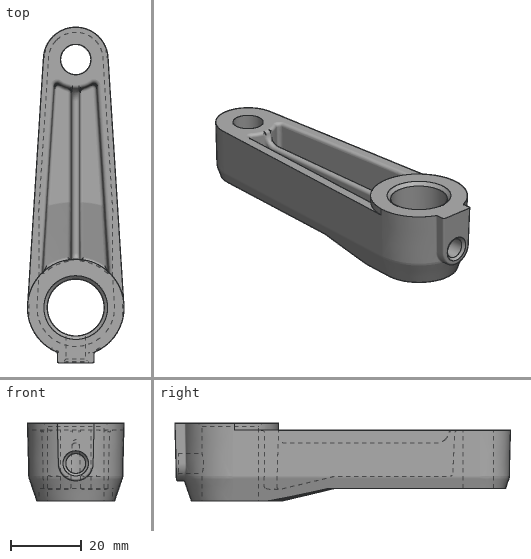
import cadquery as cq
import math

arm_length = 70.0
hub_height = 22.0
arm_top = 20.0
arm_bottom = 3.5
step_start = 1.2

hub_top_radius = 13.68
end_top_radius = 9.16
draft_slope = math.tan(math.radians(1.5))
lower_slope = math.tan(math.radians(19))
break_height = 6.7
break_blend = 2.3

hub_foot_radius = 14.6
underside_cone_radius = 29.3
underside_angle = math.atan2(arm_bottom, underside_cone_radius - hub_foot_radius)

hub_bore_radius = 8.0
hub_bore_chamfer = 1.0
end_bore_radius = 4.25

pad_tip = 15.65
pad_radius = 4.9
pad_edge_fillet = 0.5
pad_root_fillet = 0.4
cross_hole_height = 10.6
cross_hole_radius = 2.8
cross_hole_chamfer = 0.8
pad_half_width_top = pad_radius + (hub_height - cross_hole_height) * draft_slope

wall_thickness = 3.5
floor_thickness = 3.5
end_eye_radius = 8.2
pocket_corner_fillet = 1.0
pocket_floor_fillet = 0.9
rim_fillet = 1.0

rib_crest = 16.4
rib_half_width = 1.05
rib_hub_fillet = 2.0
rib_end_fillet = arm_top - rib_crest

clearance = 1.0
overlap = 0.3
tolerance = 0.05
far_radius = arm_length + 2 * end_top_radius


def wall_radius(top_radius, top, height):
    """Radius of an outer cone at a height, given its radius at its top."""
    upper_drop = top - max(height, break_height)
    lower_drop = max(break_height - height, 0)
    return top_radius - upper_drop * draft_slope - lower_drop * lower_slope


def hub_radius(height):
    return wall_radius(hub_top_radius, hub_height, height)


def end_radius(height):
    return wall_radius(end_top_radius, arm_top, height)


def tangent_slope(hub, end):
    """Sine and cosine of the angle between the arm's middle plane and a side wall."""
    sine = (hub - end) / arm_length
    return sine, math.sqrt(1 - sine**2)


def arm_outline(height):
    """Two round ends joined by their common tangents."""
    hub = hub_radius(height)
    end = end_radius(height)
    sine, cosine = tangent_slope(hub, end)
    return (
        cq.Workplane("XY", origin=(0, 0, height))
        .moveTo(hub * cosine, hub * sine)
        .lineTo(end * cosine, arm_length + end * sine)
        .threePointArc((0, arm_length + end), (-end * cosine, arm_length + end * sine))
        .lineTo(-hub * cosine, hub * sine)
        .threePointArc((0, -hub), (hub * cosine, hub * sine))
        .close()
        .val()
    )


def ruled_loft(lower_wire, upper_wire):
    return cq.Workplane(cq.Solid.makeLoft([lower_wire, upper_wire], True))


def revolved(points):
    """Solid turned about the Z axis from (radius, height) points."""
    return cq.Workplane("XZ").polyline(points).close().revolve(360, (0, 0), (0, 1))


def frustum(bottom_radius, bottom, top_radius, top):
    return revolved([(0, bottom), (bottom_radius, bottom), (top_radius, top), (0, top)])


def make_hub_core():
    """The drafted hub wall carried straight down to Z = 0."""
    return frustum(hub_top_radius - hub_height * draft_slope, 0, hub_top_radius, hub_height)


def make_outer_body():
    """Hub and arm: drafted walls, blended break line, lowered arm top, conical step underneath."""
    lower = ruled_loft(arm_outline(0), arm_outline(break_height))
    upper = ruled_loft(arm_outline(break_height), arm_outline(hub_height))
    break_line = cq.selectors.BoxSelector(
        (-far_radius, -far_radius, break_height - tolerance),
        (far_radius, far_radius, break_height + tolerance),
    )
    body = lower.union(upper).edges(break_line).fillet(break_blend)
    below_arm = revolved([
        (hub_foot_radius, 0),
        (underside_cone_radius, arm_bottom),
        (far_radius, arm_bottom),
        (far_radius, -clearance),
        (hub_foot_radius, -clearance),
    ])
    above_arm = (
        cq.Workplane("XY", origin=(0, step_start + far_radius / 2, arm_top))
        .rect(far_radius, far_radius)
        .extrude(hub_height - arm_top)
    )
    return body.cut(below_arm).cut(above_arm.cut(make_hub_core()))


def pocket_outline(height):
    """Tapered four-sided outline lying inside the arm's side walls."""
    inset = wall_thickness + (arm_top - height) * draft_slope
    hub = hub_radius(arm_top)
    end = end_radius(arm_top)
    _, cosine = tangent_slope(hub, end)
    hub_half = (hub - inset) / cosine
    end_half = (end - inset) / cosine
    return (
        cq.Workplane("XY", origin=(0, 0, height))
        .polyline([(-hub_half, 0), (hub_half, 0), (end_half, arm_length), (-end_half, arm_length)])
        .close()
        .val()
    )


def make_floor():
    """Material under the pocket: flat, then dipping to the hub parallel to the underside."""
    flat_height = arm_bottom + floor_thickness
    cone_radius = underside_cone_radius + floor_thickness * math.tan(underside_angle / 2)
    apex_height = flat_height - cone_radius * math.tan(underside_angle)
    bottom = apex_height - clearance
    return revolved([
        (0, bottom),
        (0, apex_height),
        (cone_radius, flat_height),
        (far_radius, flat_height),
        (far_radius, bottom),
    ])


def make_rib_wall():
    """Drafted wall on the arm's middle plane, up to the arm top."""
    foot = rib_half_width + rib_crest * draft_slope
    head = rib_half_width - (arm_top - rib_crest) * draft_slope
    return (
        cq.Workplane("XZ")
        .polyline([(-foot, 0), (-head, arm_top), (head, arm_top), (foot, 0)])
        .close()
        .extrude(-arm_length)
    )


def make_rib_notch():
    """Space above the rib crest, curving upward at both ends."""
    hub_wall = hub_radius(rib_crest) - overlap
    eye_wall = arm_length - end_eye_radius
    top = arm_top + clearance
    profile = (
        cq.Workplane("YZ")
        .moveTo(hub_wall, top)
        .lineTo(hub_wall, rib_crest + rib_hub_fillet)
        .radiusArc((hub_wall + rib_hub_fillet, rib_crest), -rib_hub_fillet)
        .lineTo(eye_wall - rib_end_fillet, rib_crest)
        .radiusArc((eye_wall, arm_top), -rib_end_fillet)
        .lineTo(eye_wall, top)
        .close()
    )
    return profile.extrude(rib_half_width + overlap, both=True).cut(make_hub_core())


def make_pocket_space():
    """Both halves of the pocket, with rounded corners and floor, plus the notch above the rib."""
    eye_foot_radius = end_eye_radius + arm_top * draft_slope
    eye = frustum(eye_foot_radius, 0, end_eye_radius, arm_top).translate((0, arm_length, 0))
    space = ruled_loft(pocket_outline(0), pocket_outline(arm_top))
    for solid in (make_hub_core(), eye, make_floor(), make_rib_wall()):
        space = space.cut(solid)
    middle = arm_length / 2
    flat_height = arm_bottom + floor_thickness
    eye_corners = cq.selectors.BoxSelector(
        (0, middle, flat_height + clearance),
        (end_top_radius, arm_length, arm_top - clearance),
    )
    floor_edges = cq.selectors.BoxSelector(
        (0, 0, 0),
        (hub_top_radius, arm_length, flat_height + pocket_corner_fillet),
    )
    half = space.solids(">X").edges(eye_corners).fillet(pocket_corner_fillet)
    half = half.edges(floor_edges).fillet(pocket_floor_fillet)
    return half.union(half.mirror("YZ")).union(make_rib_notch())


def cut_pocket(body):
    """Sink the pocket and round its rim and the crest of its rib."""
    body = body.cut(make_pocket_space())
    rim_and_crest = cq.selectors.BoxSelector(
        (-end_top_radius, hub_top_radius, rib_crest - tolerance),
        (end_top_radius, arm_length, arm_top + tolerance),
    )
    crest_seams = cq.selectors.BoxSelector(
        (-tolerance, 0, rib_crest - tolerance),
        (tolerance, arm_length, rib_crest + tolerance),
    )
    return body.edges(rim_and_crest - crest_seams).fillet(rim_fillet)


def make_pad():
    """U-shaped drafted pad standing out of the hub, with a rounded front edge."""
    blank = (
        cq.Workplane("XZ")
        .moveTo(-pad_half_width_top, hub_height)
        .lineTo(-pad_radius, cross_hole_height)
        .threePointArc((0, cross_hole_height - pad_radius), (pad_radius, cross_hole_height))
        .lineTo(pad_half_width_top, hub_height)
        .close()
        .extrude(pad_tip)
    )
    foot_tip = pad_tip - hub_height * draft_slope
    back = (hub_bore_radius + hub_top_radius) / 2
    envelope = (
        cq.Workplane("YZ")
        .polyline([(-back, 0), (-foot_tip, 0), (-pad_tip, hub_height), (-back, hub_height)])
        .close()
        .extrude(2 * pad_radius, both=True)
    )
    front_edges = cq.selectors.BoxSelector(
        (-pad_tip, -pad_tip - clearance, 0),
        (pad_tip, 0, hub_height - tolerance),
    )
    return blank.intersect(envelope).faces("<Y").edges(front_edges).fillet(pad_edge_fillet)


def add_pad(body):
    """Join the pad to the hub and round the corner between them."""
    body = body.union(make_pad())
    root = cq.selectors.BoxSelector(
        (-pad_half_width_top, -hub_top_radius, cross_hole_height - pad_radius),
        (pad_half_width_top, -hub_bore_radius - hub_bore_chamfer, hub_height - clearance),
    )
    return body.edges(root).fillet(pad_root_fillet)


def cut_bores(body):
    hub_bore = revolved([
        (0, -clearance),
        (hub_bore_radius, -clearance),
        (hub_bore_radius, hub_height - hub_bore_chamfer),
        (hub_bore_radius + hub_bore_chamfer, hub_height),
        (0, hub_height),
    ])
    end_bore = cq.Workplane("XY").center(0, arm_length).circle(end_bore_radius).extrude(hub_height)
    return body.cut(hub_bore).cut(end_bore)


def cut_cross_hole(body):
    """Countersunk hole through the pad into the hub bore."""
    face = pad_tip - (hub_height - cross_hole_height) * draft_slope
    wide = cross_hole_radius + cross_hole_chamfer
    tool = (
        cq.Workplane("XY")
        .polyline([
            (0, 0),
            (cross_hole_radius, 0),
            (cross_hole_radius, -face + cross_hole_chamfer),
            (wide, -face),
            (wide, -face - clearance),
            (0, -face - clearance),
        ])
        .close()
        .revolve(360, (0, 0), (0, 1))
        .translate((0, 0, cross_hole_height))
    )
    return body.cut(tool)


body = add_pad(make_outer_body())
body = cut_pocket(body)
body = cut_bores(body)
result = cut_cross_hole(body)